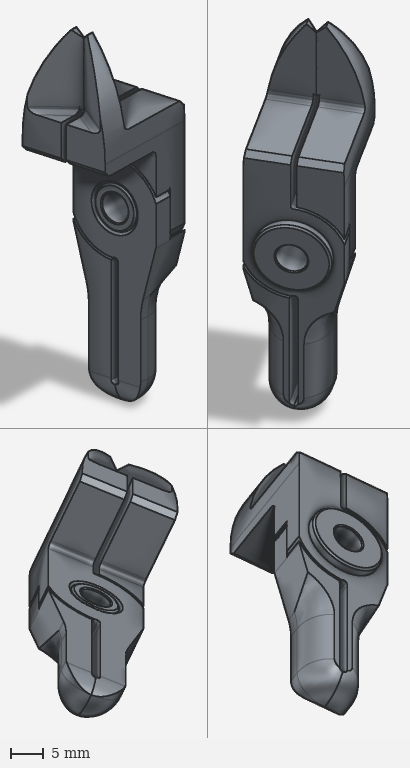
import cadquery as cq
import math


length = 66.0
half_length = length / 2
body_half_width = 8.0
thickness = 7.2
rear_y = thickness / 2
plate_front_y = -thickness / 2
depth = 20.0
jaw_front_y = rear_y - depth

jaw_curve_start_z = 14.45
jaw_curve_radius = 29.95
tip_notch_depth = 1.4
arm_bottom_z = 12.0
arm_height = 6.0
arm_top_z = arm_bottom_z + arm_height
arm_chamfer = 1.0
arm_fillet = 1.0
blade_depth = 5.2
blade_back_y = jaw_front_y + blade_depth
ledge_z = 19.0
ledge_fillet = 1.0
cutting_edge_thickness = 0.2
blade_face_angle = 35.5

handle_half_width = 5.0
taper_start_z = -4.4
taper_angle = 14.8
taper_blend_radius = 14.0
handle_end_center_z = -half_length + handle_half_width
side_flat = 1.8
crown_y = plate_front_y + side_flat
front_bevel_start_z = -28.9
rear_round_radius = 6.0
rear_round_top_z = -10.4

jaw_slot_width = 1.0
jaw_slot_bottom_z = 8.5
jaw_slot_top_z = 19.5
handle_slot_width = 1.4
handle_slot_top_z = -8.4
handle_slot_bottom_z = -29.9

lap_disc_radius = 8.5
lap_recess_radius = 9.0
pin_radius = 4.0
pin_bore_radius = 2.5
pin_bore_chamfer = 0.2
pin_chamfer = 0.3
pin_head_radius = 6.3
pin_head_thickness = 1.5
countersink = 0.45

margin = 3.3

taper_slope = math.tan(math.radians(taper_angle))
taper_corner_z = taper_start_z - (body_half_width - handle_half_width) / taper_slope
blend_tangent = taper_blend_radius * math.tan(math.radians(taper_angle) / 2)
blend_top_z = taper_corner_z + blend_tangent * math.cos(math.radians(taper_angle))
blend_bottom_z = taper_corner_z - blend_tangent

tip_rise = half_length - jaw_curve_start_z
tip_half_width = body_half_width - jaw_curve_radius + math.sqrt(jaw_curve_radius**2 - tip_rise**2)
rear_round_center_x = handle_half_width - rear_round_radius
rear_flat_half_width = rear_round_center_x + math.sqrt(rear_round_radius**2 - (rear_y - crown_y) ** 2)
rear_round_mid_angle = math.asin((rear_y - crown_y) / rear_round_radius) / 2
rear_round_mid_x = rear_round_center_x + rear_round_radius * math.cos(rear_round_mid_angle)
rear_round_mid_y = crown_y + rear_round_radius * math.sin(rear_round_mid_angle)


def taper_half_width(z):
    return body_half_width - (taper_start_z - z) * taper_slope


def block(x_range, y_range, z_range):
    """Axis-aligned box between pairs of limits."""
    sizes = [high - low for low, high in (x_range, y_range, z_range)]
    corner = cq.Vector(x_range[0], y_range[0], z_range[0])
    return cq.Workplane(cq.Solid.makeBox(*sizes, corner))


def disc(radius, y_start, y_end):
    """Cylinder about the pivot axis."""
    return cq.Workplane("XZ", origin=(0, y_start, 0)).circle(radius).extrude(y_start - y_end)


def front_outline():
    """Pliers outline in XZ: curved jaws with a notched tip, tapered neck, rounded handle end."""
    right_half = (
        cq.Workplane("XZ", origin=(0, rear_y, 0))
        .moveTo(0, half_length - tip_notch_depth)
        .lineTo(0, handle_end_center_z - handle_half_width)
        .radiusArc((handle_half_width, handle_end_center_z), -handle_half_width)
        .lineTo(handle_half_width, blend_bottom_z)
        .tangentArcPoint((taper_half_width(blend_top_z), blend_top_z), relative=False)
        .lineTo(body_half_width, taper_start_z)
        .lineTo(body_half_width, jaw_curve_start_z)
        .tangentArcPoint((tip_half_width, half_length), relative=False)
        .close()
        .extrude(depth)
    )
    return right_half.union(right_half.mirror("YZ"))


def side_outline():
    """Z-shaped side profile in YZ: blade, forward arm, plate and bevelled handle end."""
    return (
        cq.Workplane("YZ", origin=(-body_half_width, 0, 0))
        .moveTo(jaw_front_y, half_length)
        .lineTo(blade_back_y, half_length)
        .lineTo(blade_back_y, arm_top_z + arm_fillet)
        .tangentArcPoint((blade_back_y + arm_fillet, arm_top_z), relative=False)
        .lineTo(rear_y - arm_chamfer, arm_top_z)
        .lineTo(rear_y, arm_top_z - arm_chamfer)
        .lineTo(rear_y, -half_length)
        .lineTo(crown_y, -half_length)
        .threePointArc(front_bevel_midpoint(), (plate_front_y, front_bevel_start_z))
        .lineTo(plate_front_y, arm_bottom_z - arm_fillet)
        .tangentArcPoint((plate_front_y - arm_fillet, arm_bottom_z), relative=False)
        .lineTo(jaw_front_y + arm_chamfer, arm_bottom_z)
        .lineTo(jaw_front_y, arm_bottom_z + arm_chamfer)
        .close()
        .extrude(2 * body_half_width)
    )


def front_bevel_midpoint():
    """Middle of the arc that leaves the plate front tangentially and ends at the handle tip."""
    drop = front_bevel_start_z + half_length
    radius = (drop**2 + side_flat**2) / (2 * side_flat)
    half_angle = math.asin(drop / radius) / 2
    y = plate_front_y + radius * (1 - math.cos(half_angle))
    return (y, front_bevel_start_z - radius * math.sin(half_angle))


def blade_face_cutter(bottom_z):
    """Material in front of both slanted blade faces, from bottom_z upward."""
    side_x = body_half_width + margin
    edge_y = blade_back_y - cutting_edge_thickness
    side_y = edge_y - side_x * math.tan(math.radians(blade_face_angle))
    front_y = side_y - margin
    return (
        cq.Workplane("XY", origin=(0, 0, bottom_z))
        .polyline([(0, edge_y), (side_x, side_y), (side_x, front_y), (-side_x, front_y), (-side_x, side_y)])
        .close()
        .extrude(half_length + margin - bottom_z)
    )


def ledge_cutter():
    """Blade face cutter with a filleted foot where the faces meet the ledge."""
    cutter = blade_face_cutter(ledge_z)
    foot_edges = cutter.faces("<Z").edges("not(|X or |Y)")
    return foot_edges.fillet(ledge_fillet)


def slot(width, bottom_z, top_z):
    """Round-ended slot along Z, cut through the whole depth."""
    return (
        cq.Workplane("XZ", origin=(0, rear_y, 0))
        .center(0, (bottom_z + top_z) / 2)
        .slot2D(top_z - bottom_z, width, 90)
        .extrude(depth)
    )


def jaw_slot():
    """Slot with a round lower end and a square upper end; ahead of the blades it runs on to the top."""
    half_width = jaw_slot_width / 2
    middle_z = (jaw_slot_bottom_z + jaw_slot_top_z) / 2
    limits_x = (-half_width, half_width)
    limits_y = (jaw_front_y, rear_y)
    upper_part = block(limits_x, limits_y, (middle_z, jaw_slot_top_z))
    front_strip = block(limits_x, limits_y, (middle_z, half_length))
    ahead_of_blades = front_strip.intersect(blade_face_cutter(arm_bottom_z))
    return slot(jaw_slot_width, jaw_slot_bottom_z, jaw_slot_top_z).union(upper_part).union(ahead_of_blades)


def rear_section_half():
    """Right half of the handle section behind the side flats, with its rear corner rounded."""
    return (
        cq.Workplane("XY", origin=(0, 0, handle_end_center_z))
        .moveTo(0, crown_y)
        .lineTo(handle_half_width, crown_y)
        .threePointArc((rear_round_mid_x, rear_round_mid_y), (rear_flat_half_width, rear_y))
        .lineTo(0, rear_y)
        .close()
    )


def rear_flare_half():
    """Right half of the concave transition from the rounded handle section to the tapered neck."""
    low_z = blend_bottom_z
    front_low = cq.Vector(handle_half_width, crown_y, low_z)
    front_high = cq.Vector(taper_half_width(blend_top_z), crown_y, blend_top_z)
    rear_low = cq.Vector(rear_flat_half_width, rear_y, low_z)
    rear_high = cq.Vector(taper_half_width(rear_round_top_z), rear_y, rear_round_top_z)
    middle_front_low = cq.Vector(0, crown_y, low_z)
    middle_front_high = cq.Vector(0, crown_y, blend_top_z)
    middle_rear_low = cq.Vector(0, rear_y, low_z)
    middle_rear_high = cq.Vector(0, rear_y, rear_round_top_z)

    line = cq.Edge.makeLine
    upward = cq.Vector(0, 0, 1)
    round_middle = cq.Vector(rear_round_mid_x, rear_round_mid_y, low_z)
    front_curve = cq.Edge.makeTangentArc(front_low, upward, front_high)
    rear_curve = cq.Edge.makeTangentArc(rear_low, upward, rear_high)
    lower_curve = cq.Edge.makeThreePointArc(front_low, round_middle, rear_low)
    upper_line = line(front_high, rear_high)
    low_front = line(middle_front_low, front_low)
    low_rear = line(rear_low, middle_rear_low)
    high_front = line(front_high, middle_front_high)
    high_rear = line(middle_rear_high, rear_high)
    middle_low = line(middle_rear_low, middle_front_low)
    middle_high = line(middle_front_high, middle_rear_high)
    middle_front = line(middle_front_high, middle_front_low)
    middle_rear = line(middle_rear_low, middle_rear_high)

    flat_outlines = [
        [low_front, front_curve, high_front, middle_front],
        [low_rear, middle_rear, high_rear, rear_curve],
        [low_front, lower_curve, low_rear, middle_low],
        [high_front, middle_high, high_rear, upper_line],
        [middle_low, middle_front, middle_high, middle_rear],
    ]
    faces = [cq.Face.makeFromWires(cq.Wire.assembleEdges(edges)) for edges in flat_outlines]
    faces.append(cq.Face.makeNSidedSurface([front_curve, upper_line, rear_curve, lower_curve], []))
    return cq.Workplane(cq.Solid.makeSolid(cq.Shell.makeShell(faces)))


def rear_of_handles():
    """Space behind the side flats of the handles, up to an oblique plane across the neck."""
    side_x = body_half_width + margin
    end_z = -half_length - margin
    return (
        cq.Workplane("YZ", origin=(-side_x, 0, 0))
        .moveTo(crown_y, blend_top_z)
        .lineTo(rear_y, rear_round_top_z)
        .lineTo(rear_y + margin, rear_round_top_z)
        .lineTo(rear_y + margin, end_z)
        .lineTo(crown_y, end_z)
        .close()
        .extrude(2 * side_x)
    )


def rounded_handle_rear():
    """Rear of both handles: straight rounded bar, revolved end and flare into the neck."""
    bar_half = rear_section_half().extrude(blend_bottom_z - handle_end_center_z)
    half = bar_half.union(rear_flare_half())
    rounded_end = rear_section_half().revolve(360, (0, 0, 0), (0, 1, 0))
    return rounded_end.union(half).union(half.mirror("YZ"))


def pliers_blank():
    """Both halves as one shape, before the lap joint divides them."""
    blank = front_outline().intersect(side_outline())
    blank = blank.cut(rear_of_handles()).union(rounded_handle_rear())
    blank = blank.cut(ledge_cutter()).cut(jaw_slot())
    blank = blank.cut(slot(handle_slot_width, handle_slot_bottom_z, handle_slot_top_z))
    pivot_hole = disc(pin_radius, plate_front_y, rear_y)
    countersink_cone = cq.Solid.makeCone(
        pin_radius + countersink,
        pin_radius,
        countersink,
        cq.Vector(0, plate_front_y, 0),
        cq.Vector(0, 1, 0),
    )
    return blank.cut(pivot_hole).cut(cq.Workplane(countersink_cone))


def pliers_half(blank, jaw_side, disc_end_y):
    """Half with its jaw on jaw_side of X, its handle opposite, its lap disc from y = 0 to disc_end_y."""
    side_x = body_half_width + margin
    end_z = half_length + margin
    limits_y = (jaw_front_y - margin, rear_y + margin)
    jaw_x = sorted((0, jaw_side * side_x))
    handle_x = sorted((0, -jaw_side * side_x))
    region = block(jaw_x, limits_y, (0, end_z)).union(block(handle_x, limits_y, (-end_z, 0)))
    region = region.cut(disc(lap_recess_radius, 0, -disc_end_y))
    region = region.union(disc(lap_disc_radius, 0, disc_end_y))
    return blank.intersect(region).solids()


def pivot_pin():
    """Hollow pin, flush with the plate front, its chamfered head standing on the plate rear."""
    head_rear_y = rear_y + pin_head_thickness
    pin = disc(pin_radius, plate_front_y, rear_y).faces("<Y").edges().chamfer(pin_chamfer)
    head = disc(pin_head_radius, rear_y, head_rear_y).faces(">Y").edges().chamfer(pin_chamfer)
    pin = pin.union(head).cut(disc(pin_bore_radius, plate_front_y, head_rear_y))
    bore_rims = pin.edges(cq.selectors.RadiusNthSelector(0))
    return bore_rims.chamfer(pin_bore_chamfer).solids()


blank = pliers_blank()
front_lap_half = pliers_half(blank, -1, plate_front_y)
rear_lap_half = pliers_half(blank, 1, rear_y)
pin = pivot_pin()

result = cq.Compound.makeCompound([front_lap_half.val(), rear_lap_half.val(), pin.val()])